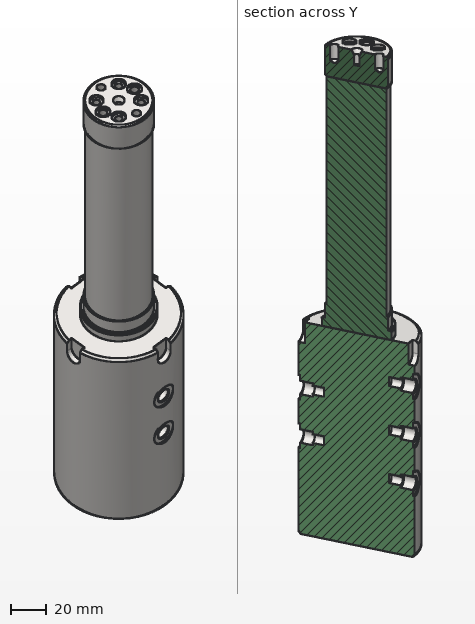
import cadquery as cq
import math

TOTAL_HEIGHT = 307.0
SLEEVE_TOP = 132.0
FLANGE_HEIGHT = 5.5
COLLAR_HEIGHT = 8.5
HEAD_HEIGHT = 19.5

SLEEVE_DIAMETER = 73.0
FLANGE_DIAMETER = 44.0
HEAD_DIAMETER = 40.0
COLLAR_DIAMETER = HEAD_DIAMETER
BAR_DIAMETER = 38.0

SLEEVE_CHAMFER = 1.5
FLANGE_CHAMFER = 0.5
HEAD_CHAMFER = 1.0

NOTCH_COUNT = 4
NOTCH_WIDTH = 10.0
NOTCH_LENGTH = 13.0
NOTCH_DEPTH = 4.0

LEFT_CLAMP_COUNT = 3
CLAMP_PITCH = 30.0
FIRST_CLAMP_DROP = 26.0
SPOT_DIAMETER = 15.0
SPOT_DEPTH = 1.0
CLAMP_BORE_DIAMETER = 8.0
CLAMP_BORE_DEPTH = 8.0
CLAMP_BORE_CHAMFER = 0.45
CLAMP_DRILL_DIAMETER = 5.2
CLAMP_DRILL_DEPTH = 15.0

BOLT_CIRCLE_RADIUS = 12.5
SCREW_ANGLES = (45, 135, 225, 315)
SCREW_HOLE_DIAMETER = 4.3
SCREW_BORE_DIAMETER = 8.0
SCREW_BORE_DEPTH = 1.8
PORT_ANGLES = (90, 270)
PORT_HOLE_DIAMETER = 5.0
PORT_BORE_DIAMETER = 8.3
PORT_BORE_DEPTH = 1.0
DOWEL_CIRCLE_RADIUS = 14.0
DOWEL_ANGLES = (0, 180)
DOWEL_DIAMETER = 5.0
DOWEL_DEPTH = 9.2
CENTRE_MOUTH_DIAMETER = 6.5
CENTRE_HOLE_DIAMETER = 3.0
CENTRE_HOLE_DEPTH = 9.2
CENTRE_CONE_ANGLE = 60
DRILL_POINT_ANGLE = 118

SLEEVE_RADIUS = SLEEVE_DIAMETER / 2
HEAD_BOTTOM = TOTAL_HEIGHT - HEAD_HEIGHT


def disc(diameter, bottom, height):
    """Cylinder on the Z axis, standing at the given bottom height."""
    return cq.Workplane("XY").workplane(offset=bottom).circle(diameter / 2).extrude(height)


def radial_plane(angle, distance, height):
    """Plane facing outward from the Z axis, with local X tangent and local Y up."""
    outward = (math.cos(math.radians(angle)), math.sin(math.radians(angle)), 0)
    tangent = (-outward[1], outward[0], 0)
    origin = (distance * outward[0], distance * outward[1], height)
    return cq.Plane(origin=origin, xDir=tangent, normal=outward)


def pointed_hole(diameter, depth):
    """Blind hole cutter going down from the origin and ending in a drill point."""
    radius = diameter / 2
    point = radius / math.tan(math.radians(DRILL_POINT_ANGLE / 2))
    return (
        cq.Workplane("XZ")
        .polyline([(0, 0), (radius, 0), (radius, -depth), (0, -depth - point)])
        .close()
        .revolve(360, (0, 0, 0), (0, 1, 0))
    )


def polar_point(radius, angle):
    """XY position at the given radius and angle in degrees."""
    return (radius * math.cos(math.radians(angle)), radius * math.sin(math.radians(angle)))


def notch_cutter(angle):
    """Flat-floored slot, open at the sleeve's top and round at its lower end."""
    end_radius = NOTCH_WIDTH / 2
    straight = NOTCH_LENGTH - end_radius
    floor = radial_plane(angle, SLEEVE_RADIUS - NOTCH_DEPTH, SLEEVE_TOP)
    return (
        cq.Workplane(floor)
        .moveTo(-end_radius, 0)
        .lineTo(-end_radius, -straight)
        .threePointArc((0, -NOTCH_LENGTH), (end_radius, -straight))
        .lineTo(end_radius, 0)
        .close()
        .extrude(2 * NOTCH_DEPTH)
    )


def clamp_hole_cutter(angle, height):
    """Spot face, chamfered bore and smaller drilled hole on one radial axis."""
    face = radial_plane(angle, SLEEVE_RADIUS - SPOT_DEPTH, height)
    spot = cq.Workplane(face).circle(SPOT_DIAMETER / 2).extrude(2 * SPOT_DEPTH)
    bore = cq.Workplane(face).circle(CLAMP_BORE_DIAMETER / 2).extrude(-CLAMP_BORE_DEPTH)
    mouth = (
        cq.Workplane(face)
        .circle(CLAMP_BORE_DIAMETER / 2 + CLAMP_BORE_CHAMFER)
        .extrude(-CLAMP_BORE_CHAMFER, taper=45)
    )
    drill = cq.Workplane(face).circle(CLAMP_DRILL_DIAMETER / 2).extrude(-CLAMP_DRILL_DEPTH)
    return spot.union(bore).union(mouth).union(drill)


def make_sleeve():
    """Large lower cylinder with edge notches and clamping holes on two sides."""
    sleeve = disc(SLEEVE_DIAMETER, 0, SLEEVE_TOP)
    sleeve = sleeve.faces("<Z or >Z").edges().chamfer(SLEEVE_CHAMFER)
    for index in range(NOTCH_COUNT):
        sleeve = sleeve.cut(notch_cutter(index * 360 / NOTCH_COUNT))
    first_height = SLEEVE_TOP - FIRST_CLAMP_DROP
    for index in range(LEFT_CLAMP_COUNT):
        sleeve = sleeve.cut(clamp_hole_cutter(180, first_height - index * CLAMP_PITCH))
    for index in range(LEFT_CLAMP_COUNT - 1):
        sleeve = sleeve.cut(clamp_hole_cutter(0, first_height - (index + 0.5) * CLAMP_PITCH))
    return sleeve


def make_bar():
    """Slender bar standing on a chamfered flange and a short collar."""
    flange = disc(FLANGE_DIAMETER, SLEEVE_TOP, FLANGE_HEIGHT)
    flange = flange.faces(">Z").edges().chamfer(FLANGE_CHAMFER)
    collar_bottom = SLEEVE_TOP + FLANGE_HEIGHT
    collar = disc(COLLAR_DIAMETER, collar_bottom, COLLAR_HEIGHT)
    shaft_bottom = collar_bottom + COLLAR_HEIGHT
    shaft = disc(BAR_DIAMETER, shaft_bottom, HEAD_BOTTOM - shaft_bottom)
    return flange.union(collar).union(shaft)


def cut_counterbores(head, angles, hole_diameter, bore_diameter, bore_depth):
    """Cut counterbored through holes into the head at angles around the bolt circle."""
    points = [polar_point(BOLT_CIRCLE_RADIUS, angle) for angle in angles]
    return (
        head.faces(">Z")
        .workplane(origin=(0, 0, TOTAL_HEIGHT))
        .pushPoints(points)
        .cboreHole(hole_diameter, bore_diameter, bore_depth, HEAD_HEIGHT)
    )


def make_head():
    """Top disc with counterbored screw holes and ports, two dowel holes and a centre hole."""
    head = disc(HEAD_DIAMETER, HEAD_BOTTOM, HEAD_HEIGHT)
    head = head.faces("<Z or >Z").edges().chamfer(HEAD_CHAMFER)
    head = cut_counterbores(head, SCREW_ANGLES, SCREW_HOLE_DIAMETER, SCREW_BORE_DIAMETER, SCREW_BORE_DEPTH)
    head = cut_counterbores(head, PORT_ANGLES, PORT_HOLE_DIAMETER, PORT_BORE_DIAMETER, PORT_BORE_DEPTH)
    dowel_hole = pointed_hole(DOWEL_DIAMETER, DOWEL_DEPTH)
    for angle in DOWEL_ANGLES:
        head = head.cut(dowel_hole.translate((*polar_point(DOWEL_CIRCLE_RADIUS, angle), TOTAL_HEIGHT)))
    return (
        head.faces(">Z")
        .workplane(origin=(0, 0, TOTAL_HEIGHT))
        .cskHole(CENTRE_HOLE_DIAMETER, CENTRE_MOUTH_DIAMETER, CENTRE_CONE_ANGLE, CENTRE_HOLE_DEPTH)
    )


sleeve = make_sleeve()
bar = make_bar()
head = make_head()

result = cq.Compound.makeCompound([sleeve.val(), bar.val(), head.val()])